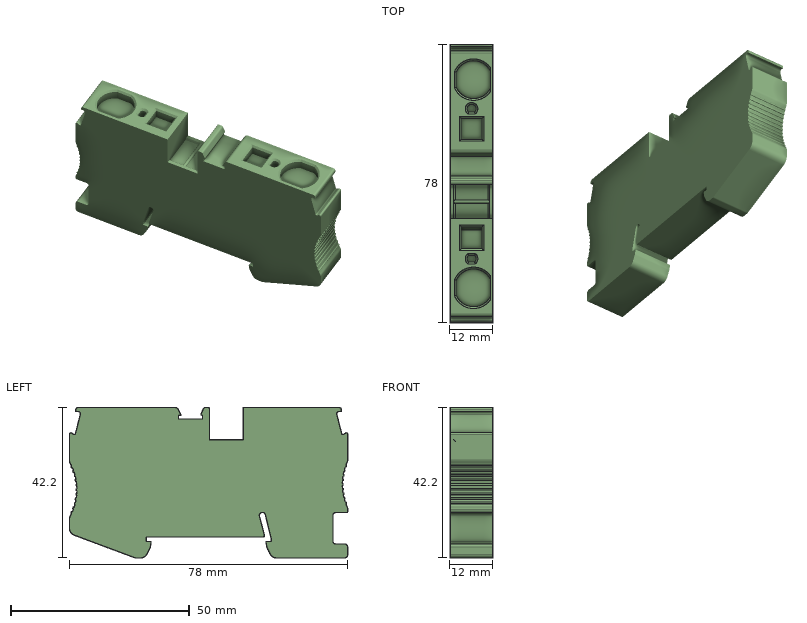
import cadquery as cq
import math

WIDTH = 12.0
LENGTH = 78.0
HEIGHT = 42.2
HALF = LENGTH / 2

LIP_Y = 37.2
LIP_BOTTOM = 41.0
LIP_ROUND = 0.65
RECESS_ROUND = 0.6
RECESS_TOP_Y = 35.75
RECESS_BOTTOM_Y = 37.42
RECESS_BOTTOM = 34.45
RECESS_BOTTOM_ROUND = 0.3
SHOULDER_Z = 35.1
SHOULDER_Y = 38.5
SHOULDER_ROUND = 0.45

MARKER_FLOOR = 39.0
MARKER_HOOK_Z = 40.0
MARKER_MIN_Y, MARKER_MAX_Y = 1.75, 8.4
HOOK_REACH = 0.75
HOOK_TOP_RUN = 1.1
HOOK_ROUND = 1.05
POST_HOOK_REACH = 0.55
POST_HOOK_TOP_RUN = 1.0
POST_HOOK_ROUND = 0.65
HOOK_TIP_ROUND = 0.3
SLOT_MIN_Y, SLOT_MAX_Y = -9.7, -0.28
SLOT_FLOOR = 33.2
POST_ROUND = 0.45

RAIL_Z = 5.9
CLAW_Z = 4.7
RAIL_MAX_Y = 17.45
CLAW_TIP_Y = 16.0
CLAW_BEND_Y, CLAW_BEND_Z = 16.3, 3.0
CLAW_BOTTOM_Y = 17.8
CLAW_TIP_ROUND = 0.3
CLAW_BEND_ROUND = 1.5
CLAW_BOTTOM_ROUND = 2.0
SLIT_MOUTH_Y = -15.8
SLIT_OUTER_Y = -17.5
SLIT_TOP = 12.75
SLIT_WIDTH = 1.7
SLIT_TOP_ROUND = 0.78
SLIT_MOUTH_ROUND = 0.4
SLIT_STRAIGHT = 0.4
SLIT_LEAN = 1.78
BOTTOM_MAX_Y = 20.5
BOTTOM_SLOPE_Z = 6.9
BOTTOM_END_ROUND = 2.2
BOTTOM_ROUND = 1.0

NOTCH_Y = -34.9
NOTCH_BOTTOM, NOTCH_TOP = 4.0, 12.7
NOTCH_ROUND = 0.6
NOTCH_LIP_ROUND = 0.45
FOOT_ROUND = 0.95

RIB_PITCH = 1.31
RIB_HEIGHT = 0.22
FLAT_RIB_BASE, FLAT_RIB_TIP = 0.75, 0.45
ROUND_RIB_WIDTH = 0.5
RIB_ROOT = 0.2
GRIP_RIM_ROUND = 1.5
GRIPS = [
    (1, 19.15, 2.1, 7.8, 11),
    (-1, 20.6, 1.5, 6.6, 9),
]

OPENING_CHAMFER = 0.5
OPENING_DEPTH = 3.0
WIRE_X = 6.55
WIRE_Y = 29.15
WIRE_RADIUS = 5.8
WIRE_MIN_X, WIRE_MAX_X = 1.2, 11.25
TEST_X = WIDTH / 2
TEST_Y = 21.0
TEST_RADIUS = 1.75
TEST_FLAT = 1.42
SCREW_SIZE = 6.85
SCREW_Y = 15.35
SLOPED_SCREW_Y = -15.1
SLOPED_SCREW_LENGTH = 7.1
SLOPED_SCREW_FLOOR_SETBACK = 0.95

TROUGH_WALL = 0.95
TROUGH_SLOPE = 0.5
TROUGH_DEPTH = 0.5
RIDGE_Y = -5.05
RIDGE_RADIUS = 0.5


def rounded_outline(corners):
    """Closed YZ outline through (y, z, radius) corners, each rounded by its radius."""
    stretches = []
    for i, (y, z, radius) in enumerate(corners):
        here = cq.Vector(y, z)
        before = (cq.Vector(*corners[i - 1][:2]) - here).normalized()
        after = (cq.Vector(*corners[(i + 1) % len(corners)][:2]) - here).normalized()
        half_angle = before.getAngle(after) / 2
        tangent = radius / math.tan(half_angle)
        inward = (before + after).normalized()
        to_arc = radius / math.sin(half_angle) - radius
        stretches.append((radius, here + before * tangent, here + inward * to_arc, here + after * tangent))

    def flat(point):
        return (point.x, point.y)

    path = cq.Workplane("YZ").moveTo(*flat(stretches[0][3]))
    for radius, start, middle, end in stretches[1:] + stretches[:1]:
        path = path.lineTo(*flat(start))
        if radius > 0:
            path = path.threePointArc(flat(middle), flat(end))
    return path.close()


def end_recess(side):
    """Corners of the latch recess from the top edge down; side is +1 or -1 along Y."""
    corners = [
        (LIP_Y, HEIGHT, LIP_ROUND),
        (LIP_Y, LIP_BOTTOM, 0),
        (RECESS_TOP_Y, LIP_BOTTOM, RECESS_ROUND),
        (RECESS_BOTTOM_Y, RECESS_BOTTOM, RECESS_BOTTOM_ROUND),
        (SHOULDER_Y, SHOULDER_Z, 0),
        (HALF, SHOULDER_Z, SHOULDER_ROUND),
    ]
    return [(side * y, z, radius) for y, z, radius in corners]


def claw(side):
    """Corners of a rail claw from the underside up to its tip; side is +1 or -1 along Y."""
    corners = [
        (CLAW_BOTTOM_Y, 0, CLAW_BOTTOM_ROUND),
        (CLAW_BEND_Y, CLAW_BEND_Z, CLAW_BEND_ROUND),
        (CLAW_TIP_Y, CLAW_Z, CLAW_TIP_ROUND),
    ]
    return [(side * y, z, radius) for y, z, radius in corners]


def make_body():
    corners = end_recess(1)
    corners += [
        (HALF, BOTTOM_SLOPE_Z, BOTTOM_END_ROUND),
        (BOTTOM_MAX_Y, 0, BOTTOM_ROUND),
        *claw(1),
        (RAIL_MAX_Y, CLAW_Z, 0),
        (RAIL_MAX_Y, RAIL_Z, 0),
        (SLIT_MOUTH_Y, RAIL_Z, SLIT_MOUTH_ROUND),
        (SLIT_MOUTH_Y + SLIT_LEAN, SLIT_TOP, SLIT_TOP_ROUND),
        (SLIT_MOUTH_Y + SLIT_LEAN - SLIT_WIDTH, SLIT_TOP, SLIT_TOP_ROUND),
        (SLIT_OUTER_Y, RAIL_Z - SLIT_STRAIGHT, 0),
        (SLIT_OUTER_Y, CLAW_Z, 0),
        *reversed(claw(-1)),
        (-HALF, 0, FOOT_ROUND),
        (-HALF, NOTCH_BOTTOM, FOOT_ROUND),
        (NOTCH_Y, NOTCH_BOTTOM, NOTCH_ROUND),
        (NOTCH_Y, NOTCH_TOP, NOTCH_ROUND),
        (-HALF, NOTCH_TOP, NOTCH_LIP_ROUND),
    ]
    corners += reversed(end_recess(-1))
    corners += [
        (SLOT_MIN_Y, HEIGHT, 0),
        (SLOT_MIN_Y, SLOT_FLOOR, 0),
        (SLOT_MAX_Y, SLOT_FLOOR, 0),
        (SLOT_MAX_Y, HEIGHT, POST_ROUND),
        (MARKER_MIN_Y + POST_HOOK_REACH - POST_HOOK_TOP_RUN, HEIGHT, POST_HOOK_ROUND),
        (MARKER_MIN_Y + POST_HOOK_REACH, MARKER_HOOK_Z, HOOK_TIP_ROUND),
        (MARKER_MIN_Y, MARKER_HOOK_Z, 0),
        (MARKER_MIN_Y, MARKER_FLOOR, 0),
        (MARKER_MAX_Y, MARKER_FLOOR, 0),
        (MARKER_MAX_Y, MARKER_HOOK_Z, 0),
        (MARKER_MAX_Y - HOOK_REACH, MARKER_HOOK_Z, 0),
        (MARKER_MAX_Y - HOOK_REACH + HOOK_TOP_RUN, HEIGHT, HOOK_ROUND),
    ]
    return rounded_outline(corners).extrude(WIDTH)


def flat_rib(root, tip, middle):
    half_base = FLAT_RIB_BASE / 2
    half_tip = FLAT_RIB_TIP / 2
    corners = [
        (root, middle - half_base),
        (tip, middle - half_tip),
        (tip, middle + half_tip),
        (root, middle + half_base),
    ]
    return cq.Workplane("YZ").polyline(corners).close().extrude(WIDTH)


def round_rib(root, tip, middle):
    radius = ROUND_RIB_WIDTH / 2
    shoulder = tip - math.copysign(radius, tip - root)
    return (
        cq.Workplane("YZ")
        .moveTo(root, middle - radius)
        .lineTo(shoulder, middle - radius)
        .threePointArc((tip, middle), (shoulder, middle + radius))
        .lineTo(root, middle + radius)
        .close()
        .extrude(WIDTH)
    )


def cut_grip(body, side, center_z, depth, half_height, rib_count):
    """Hollow a cylindrical grip into one end and line it with ribs, flat and round in turn."""
    radius = (half_height**2 + depth**2) / (2 * depth)
    axis_y = side * (HALF - depth + radius)
    hollow = cq.Workplane("YZ").center(axis_y, center_z).circle(radius).extrude(WIDTH)
    body = body.cut(hollow)
    for rim_z in (center_z - half_height, center_z + half_height):
        rim = cq.selectors.NearestToPointSelector((WIDTH / 2, side * HALF, rim_z))
        body = body.edges("|X").edges(rim).fillet(GRIP_RIM_ROUND)

    root = axis_y - side * (radius + RIB_ROOT)
    tip = axis_y - side * (radius - RIB_HEIGHT)
    for i in range(rib_count):
        step = i - rib_count // 2
        if step % 2 == 0:
            rib = flat_rib(root, tip, center_z)
        else:
            rib = round_rib(root, tip, center_z)
        angle = math.degrees(step * RIB_PITCH / radius)
        body = body.union(rib.rotate((0, axis_y, center_z), (1, axis_y, center_z), angle))
    return body


def box(min_x, max_x, min_y, max_y, min_z, max_z):
    corner = (min_x, min_y, min_z)
    return cq.Workplane("XY").box(max_x - min_x, max_y - min_y, max_z - min_z, centered=False).translate(corner)


def round_opening(x, y, radius):
    """Blind round hole with a chamfered mouth."""
    inner = radius - OPENING_CHAMFER
    floor = HEIGHT - OPENING_DEPTH
    half_profile = [
        (0, floor),
        (inner, floor),
        (inner, HEIGHT - OPENING_CHAMFER),
        (radius, HEIGHT),
        (0, HEIGHT),
    ]
    turned = cq.Workplane("XZ").polyline(half_profile).close().revolve(360, (0, 0), (0, 1))
    return turned.translate((x, y, 0))


def chamfered_box(min_x, max_x, min_y, max_y):
    """Block as deep as the openings whose top flares out to the given limits."""
    inset = OPENING_CHAMFER
    floor = HEIGHT - OPENING_DEPTH
    shaft = box(min_x + inset, max_x - inset, min_y + inset, max_y - inset, floor, HEIGHT)
    mouth = (
        cq.Workplane("XY", origin=((min_x + max_x) / 2, (min_y + max_y) / 2, HEIGHT))
        .rect(max_x - min_x, max_y - min_y)
        .workplane(offset=-inset)
        .rect(max_x - min_x - 2 * inset, max_y - min_y - 2 * inset)
        .loft(ruled=True)
    )
    return shaft.union(mouth)


def wire_opening(y):
    """Round wire entry flattened towards both side faces; the +X flat has no chamfer."""
    limits = chamfered_box(WIRE_MIN_X, WIDTH + OPENING_CHAMFER, -HALF, HALF)
    plain_flat = box(0, WIRE_MAX_X, -HALF, HALF, 0, HEIGHT)
    return round_opening(WIRE_X, y, WIRE_RADIUS).intersect(limits).intersect(plain_flat)


def test_opening(min_y, max_y, y):
    """Round test probe hole at y, flattened where it passes min_y or max_y."""
    limits = chamfered_box(0, WIDTH, min_y, max_y)
    return round_opening(TEST_X, y, TEST_RADIUS).intersect(limits)


def screw_opening(y, length):
    """Rectangular screwdriver opening with a chamfered mouth."""
    middle = WIDTH / 2
    half = SCREW_SIZE / 2
    return chamfered_box(middle - half, middle + half, y - length / 2, y + length / 2)


def sloped_screw_opening():
    """Screwdriver opening whose +Y wall leans in towards the floor."""
    wall_y = SLOPED_SCREW_Y + SLOPED_SCREW_LENGTH / 2 - OPENING_CHAMFER
    floor = HEIGHT - OPENING_DEPTH
    wedge = (
        cq.Workplane("YZ")
        .polyline([
            (wall_y, floor),
            (wall_y, HEIGHT - OPENING_CHAMFER),
            (wall_y - SLOPED_SCREW_FLOOR_SETBACK, floor),
        ])
        .close()
        .extrude(WIDTH)
    )
    return screw_opening(SLOPED_SCREW_Y, SLOPED_SCREW_LENGTH).cut(wedge)


def trough():
    """Shallow trough with sloping sides, crossed by a rounded ridge."""
    floor = SLOT_FLOOR - TROUGH_DEPTH
    hollow = (
        cq.Workplane("XZ", origin=(0, SLOT_MAX_Y, 0))
        .polyline([
            (TROUGH_WALL, SLOT_FLOOR),
            (TROUGH_WALL + TROUGH_SLOPE, floor),
            (WIDTH - TROUGH_WALL - TROUGH_SLOPE, floor),
            (WIDTH - TROUGH_WALL, SLOT_FLOOR),
        ])
        .close()
        .extrude(SLOT_MAX_Y - SLOT_MIN_Y)
    )
    ridge = cq.Workplane("YZ").center(RIDGE_Y, floor).circle(RIDGE_RADIUS).extrude(WIDTH)
    return hollow.cut(ridge)


result = make_body()
for grip in GRIPS:
    result = cut_grip(result, *grip)
for end in (1, -1):
    result = result.cut(wire_opening(end * WIRE_Y))
result = result.cut(test_opening(TEST_Y - TEST_FLAT, TEST_Y + 2 * TEST_RADIUS, TEST_Y))
result = result.cut(test_opening(-TEST_Y - TEST_FLAT, -TEST_Y + TEST_FLAT, -TEST_Y))
result = result.cut(screw_opening(SCREW_Y, SCREW_SIZE))
result = result.cut(sloped_screw_opening())
result = result.cut(trough())